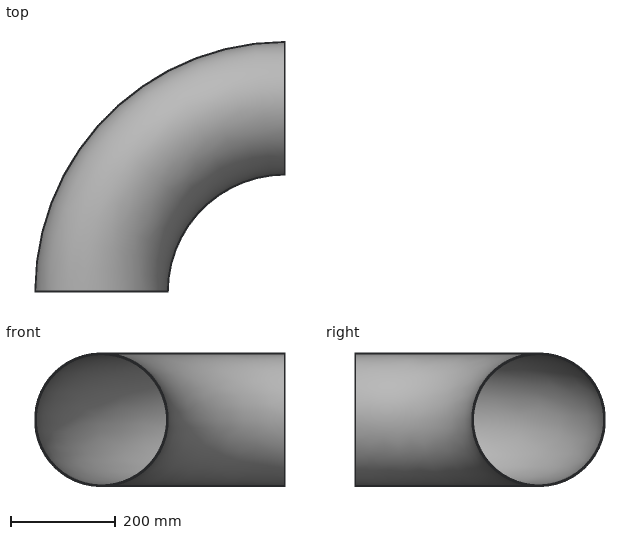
import cadquery as cq

outer_bend_radius = 477.0
pipe_diameter = 254.0
wall_thickness = 2.0
bend_angle = 90

pipe_radius = pipe_diameter / 2
bore_radius = pipe_radius - wall_thickness
centerline_radius = outer_bend_radius - pipe_radius

result = (
    cq.Workplane("XZ")
    .center(-centerline_radius, 0)
    .circle(pipe_radius)
    .circle(bore_radius)
    .revolve(bend_angle, (centerline_radius, 0), (centerline_radius, -1))
)